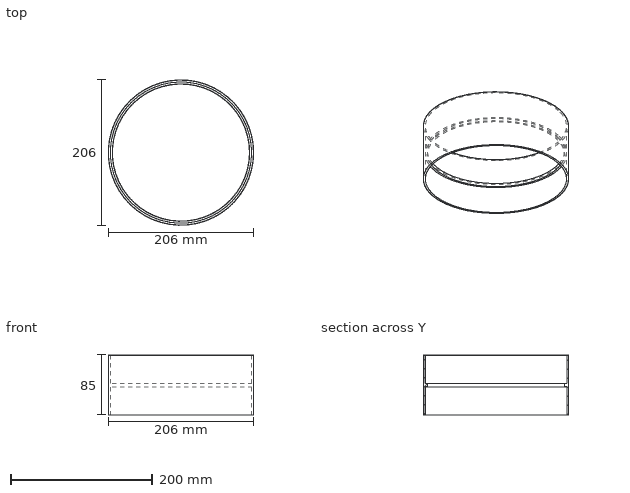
import cadquery as cq

outer_diameter = 206.0
wall_thickness = 3.0
length = 85.0
stop_height = 3.0
stop_width = 5.0

bore_diameter = outer_diameter - 2 * wall_thickness
stop_diameter = bore_diameter - 2 * stop_height
stop_bottom = (length - stop_width) / 2


def tube(outside, inside, height, bottom):
    """Plain tube around the Z axis, standing on the level z = bottom."""
    return (
        cq.Workplane("XY")
        .workplane(offset=bottom)
        .circle(outside / 2)
        .circle(inside / 2)
        .extrude(height)
    )


sleeve = tube(outer_diameter, bore_diameter, length, 0)

stop_ring = tube(outer_diameter, stop_diameter, stop_width, stop_bottom)

result = sleeve.union(stop_ring, clean=True)